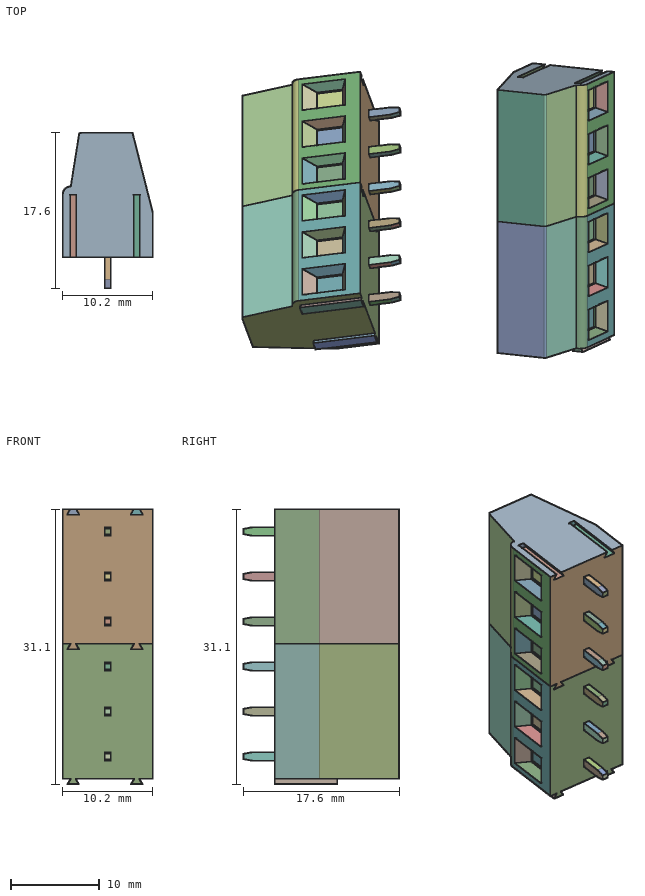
import cadquery as cq

total_height = 31.08
module_count = 2
tongue_height = 0.6
module_height = (total_height - tongue_height) / module_count

housing_width = 10.2
half_width = housing_width / 2
total_depth = 17.6
pin_length = 3.5
housing_depth = total_depth - pin_length
step_radius = 0.9
step_depth = 8.02
back_left_inset = 1.85
back_right_inset = 2.3
right_slope_start = 5.05
back_fillet = 0.25

pole_count = 3
pole_pitch = module_height / pole_count

mouth_near, mouth_far = 1.75, 6.68
mouth_height = 3.55
well_near, well_far = 2.3, 5.25
well_height = 2.55
funnel_depth = 1.25
well_depth = 0.25

pin_width = 0.7
pin_height = 1.0
pin_tip_height = 0.62
pin_taper_length = 1.03

dovetail_length = 7.1
left_dovetail_offset, right_dovetail_offset = 1.18, 8.35
dovetail_positions = (left_dovetail_offset - half_width, right_dovetail_offset - half_width)
tongue_neck = 0.6
tongue_base = 1.3
groove_mouth = 0.65
groove_base = 1.37
groove_depth = 0.62


def pole_heights():
    """Z of each pole centre within a module."""
    return [(pole + 0.5) * pole_pitch for pole in range(pole_count)]


def housing_block():
    """Housing outline over the module height, with its back left edge rounded."""
    back_left_edge = (back_left_inset - half_width, housing_depth, module_height / 2)
    return (
        cq.Workplane("XY")
        .moveTo(-half_width, 0)
        .lineTo(-half_width, step_depth - step_radius)
        .radiusArc((step_radius - half_width, step_depth), step_radius)
        .lineTo(back_left_inset - half_width, housing_depth)
        .lineTo(half_width - back_right_inset, housing_depth)
        .lineTo(half_width, right_slope_start)
        .lineTo(half_width, 0)
        .close()
        .extrude(module_height)
        .edges(cq.NearestToPointSelector(back_left_edge))
        .fillet(back_fillet)
    )


def pocket_section(near, far, height, x, z):
    """Rectangular wire across the pocket at the given X, centred on height z."""
    return cq.Wire.makePolygon(
        [
            cq.Vector(x, near, z - height / 2),
            cq.Vector(x, far, z - height / 2),
            cq.Vector(x, far, z + height / 2),
            cq.Vector(x, near, z + height / 2),
        ],
        close=True,
    )


def wire_pocket(z):
    """Funnel from a mouth on the wire face, with a straight well at its inner end."""
    funnel_end_x = funnel_depth - half_width
    mouth = pocket_section(mouth_near, mouth_far, mouth_height, -half_width, z)
    funnel_end = pocket_section(well_near, well_far, well_height, funnel_end_x, z)
    funnel = cq.Workplane(cq.Solid.makeLoft([mouth, funnel_end], True))
    well = (
        cq.Workplane("YZ", origin=(funnel_end_x, (well_near + well_far) / 2, z))
        .rect(well_far - well_near, well_height)
        .extrude(well_depth)
    )
    return funnel.union(well)


def pin(z):
    """Flat pin standing out of the pin face, with its tip tapered in height."""
    taper_start = pin_taper_length - pin_length
    return (
        cq.Workplane("YZ", origin=(-pin_width / 2, 0, z))
        .moveTo(0, -pin_height / 2)
        .lineTo(taper_start, -pin_height / 2)
        .lineTo(-pin_length, -pin_tip_height / 2)
        .lineTo(-pin_length, pin_tip_height / 2)
        .lineTo(taper_start, pin_height / 2)
        .lineTo(0, pin_height / 2)
        .close()
        .extrude(pin_width)
    )


def dovetail(x, top_z, top_width, base_width, height):
    """Bar along Y that widens downward from top_z."""
    return (
        cq.Workplane("XZ", origin=(x, 0, top_z))
        .moveTo(-top_width / 2, 0)
        .lineTo(-base_width / 2, -height)
        .lineTo(base_width / 2, -height)
        .lineTo(top_width / 2, 0)
        .close()
        .extrude(-dovetail_length)
    )


def terminal_module(bottom_z):
    """One module with its pins, pockets, top grooves and bottom tongues."""
    module = housing_block()
    for z in pole_heights():
        module = module.cut(wire_pocket(z)).union(pin(z))
    for x in dovetail_positions:
        groove = dovetail(x, module_height, groove_mouth, groove_base, groove_depth)
        tongue = dovetail(x, 0, tongue_neck, tongue_base, tongue_height)
        module = module.cut(groove).union(tongue)
    return module.translate((0, 0, bottom_z))


modules = [terminal_module(index * module_height) for index in range(module_count)]

result = cq.Compound.makeCompound([module.val() for module in modules])